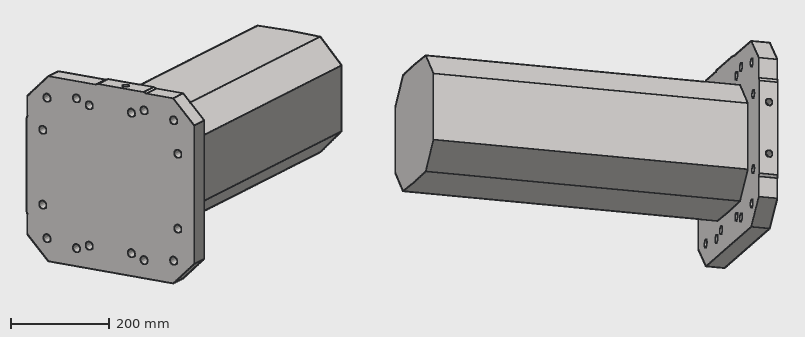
import cadquery as cq

total_length = 714.0
plate_thickness = 40.0

plate_size = 395.5
plate_corner = 50.0
plate_half = plate_size / 2

pad_height = 2.0
pad_ramp = 6.5
side_pad_length = 197.0
top_pad_length = 107.0
top_pad_center = 24.0

pad_hole_diameter = 14.0
pad_hole_depth = 28.5
pad_hole_inset = 18.5
side_hole_spacing = 110.0

bolt_diameter = 17.0
grid_outer = 150.0
grid_inner = 50.0
ring_near = 80.0
ring_far = 160.0

column_width = 250.0
top_flat = 148.5
side_flat = 141.0
column_ridge = 1.5
column_half = column_width / 2


def extrude_along_y(points, length):
    """Extrude a closed outline of (x, z) points from Y = 0 toward +Y."""
    return cq.Workplane("XZ").polyline(points).close().extrude(-length)


def make_plate():
    plate = cq.Workplane("XY").box(plate_size, plate_thickness, plate_size, centered=(True, False, True))
    return plate.edges("|Y").chamfer(plate_corner)


def pad_profile(center, flat_length):
    """Return (position along the edge, distance from the plate center) points."""
    flat_half = flat_length / 2
    base_half = flat_half + pad_ramp
    pad_face = plate_half + pad_height
    root = plate_half - pad_height
    return [
        (center - base_half, root),
        (center - base_half, plate_half),
        (center - flat_half, pad_face),
        (center + flat_half, pad_face),
        (center + base_half, plate_half),
        (center + base_half, root),
    ]


def make_pads():
    top_pad = extrude_along_y(pad_profile(top_pad_center, top_pad_length), plate_thickness)
    side_points = [(-distance, along) for along, distance in pad_profile(0, side_pad_length)]
    return top_pad.union(extrude_along_y(side_points, plate_thickness))


def make_column():
    top_half = top_flat / 2
    side_half = side_flat / 2
    shoulder = column_half - column_ridge
    outline = [
        (0, column_half),
        (top_half, shoulder),
        (column_half, side_half),
        (column_half, -side_half),
        (top_half, -shoulder),
        (0, -column_half),
        (-top_half, -shoulder),
        (-column_half, -side_half),
        (-column_half, side_half),
        (-top_half, shoulder),
    ]
    column = extrude_along_y(outline, total_length - plate_thickness)
    return column.translate((0, plate_thickness, 0))


def make_bolt_holes():
    """Return cutters for the holes, mirrored into all four quadrants."""
    quadrant = [
        (grid_outer, grid_outer),
        (grid_inner, grid_outer),
        (ring_near, ring_far),
        (ring_far, ring_near),
    ]
    points = [(sx * x, sz * z) for x, z in quadrant for sx in (-1, 1) for sz in (-1, 1)]
    return cq.Workplane("XZ").pushPoints(points).circle(bolt_diameter / 2).extrude(-plate_thickness)


def make_pad_holes():
    """Return cutters for one hole in the top pad and two in the side pad."""
    radius = pad_hole_diameter / 2
    pad_face = plate_half + pad_height
    top = cq.Workplane("XY", origin=(top_pad_center, pad_hole_inset, pad_face)).circle(radius)
    spots = [(pad_hole_inset, side * side_hole_spacing / 2) for side in (-1, 1)]
    sides = cq.Workplane("YZ", origin=(-pad_face, 0, 0)).pushPoints(spots).circle(radius)
    return top.extrude(-pad_hole_depth).union(sides.extrude(pad_hole_depth))


padded_plate = make_plate().union(make_pads()).cut(make_pad_holes())
padded_plate = padded_plate.translate((pad_height / 2, 0, -pad_height / 2))

result = padded_plate.cut(make_bolt_holes()).union(make_column())